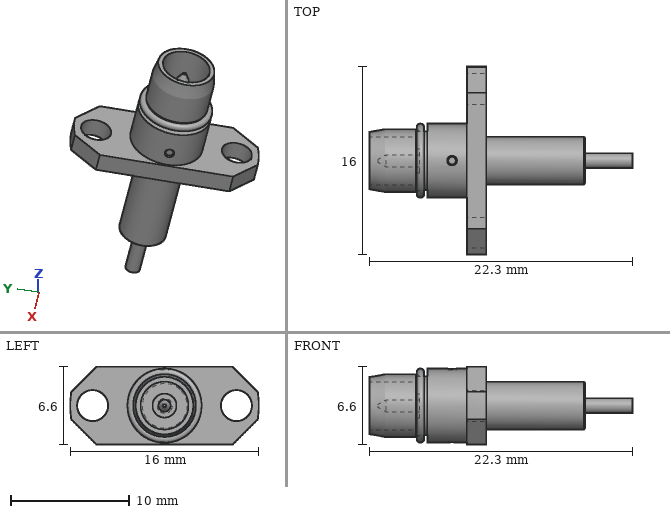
import cadquery as cq

total_length = 22.3
taper_length = 1.32
groove_start = 3.95
groove_end = 4.9
flange_start = 8.25
flange_thickness = 1.65
barrel_end = 18.29
barrel_chamfer = 0.13

mouth_diameter = 4.86
front_diameter = 5.33
groove_diameter = 5.0
body_diameter = 6.29
barrel_diameter = 4.05
tail_diameter = 1.27

socket_diameter = 4.05
socket_depth = 4.01
recess_diameter = 2.03
recess_depth = 0.22
pin_diameter = 1.03
pin_tip_diameter = 0.27
pin_start = 0.74
pin_tip_length = 0.67

flange_width = 16.0
flange_height = 6.6
flange_corner = 2.23
mount_hole_diameter = 2.6
mount_hole_spacing = 12.18

side_hole_position = 7.0
side_hole_diameter = 0.85
side_hole_floor_diameter = 0.65
side_hole_depth = 0.11

ring_outer_diameter = body_diameter
ring_tube_diameter = (ring_outer_diameter - groove_diameter) / 2
ring_position = 4.33


def revolve_about_x(profile):
    """Turn a closed (x, radius) profile around the X axis."""
    return cq.Workplane("XY").polyline(profile).close().revolve(360, (0, 0, 0), (1, 0, 0))


def cylinder_along_x(start, end, diameter):
    return cq.Workplane("YZ", origin=(start, 0, 0)).circle(diameter / 2).extrude(end - start)


def make_turned_body():
    return revolve_about_x([
        (0, 0),
        (0, mouth_diameter / 2),
        (taper_length, front_diameter / 2),
        (groove_start, front_diameter / 2),
        (groove_start, groove_diameter / 2),
        (groove_end, groove_diameter / 2),
        (groove_end, body_diameter / 2),
        (flange_start, body_diameter / 2),
        (flange_start, barrel_diameter / 2),
        (barrel_end - barrel_chamfer, barrel_diameter / 2),
        (barrel_end, barrel_diameter / 2 - barrel_chamfer),
        (barrel_end, tail_diameter / 2),
        (total_length, tail_diameter / 2),
        (total_length, 0),
    ])


def make_flange():
    """Plate with cut corners and ends slightly rounded about the X axis."""
    plate = (
        cq.Workplane("YZ", origin=(flange_start, 0, 0))
        .rect(flange_width, flange_height)
        .extrude(flange_thickness)
        .edges("|X")
        .chamfer(flange_corner)
    )
    holes = (
        cq.Workplane("YZ", origin=(flange_start, 0, 0))
        .pushPoints([(-mount_hole_spacing / 2, 0), (mount_hole_spacing / 2, 0)])
        .circle(mount_hole_diameter / 2)
        .extrude(flange_thickness)
    )
    round_ends = cylinder_along_x(flange_start, flange_start + flange_thickness, flange_width)
    return plate.intersect(round_ends).cut(holes)


def make_socket():
    bore = cylinder_along_x(0, socket_depth, socket_diameter)
    recess = cylinder_along_x(socket_depth, socket_depth + recess_depth, recess_diameter)
    return bore.union(recess)


def make_contact_pin():
    return revolve_about_x([
        (pin_start, 0),
        (pin_start, pin_tip_diameter / 2),
        (pin_start + pin_tip_length, pin_diameter / 2),
        (socket_depth + recess_depth, pin_diameter / 2),
        (socket_depth + recess_depth, 0),
    ])


def make_side_holes():
    """Cutter for both blind holes, narrowing inwards and mirrored about the axis."""
    floor_height = body_diameter / 2 - side_hole_depth
    upper = (
        cq.Workplane("XY", origin=(side_hole_position, 0, floor_height))
        .circle(side_hole_floor_diameter / 2)
        .workplane(offset=side_hole_depth)
        .circle(side_hole_diameter / 2)
        .loft()
    )
    return upper.union(upper.mirror("XY"))


def make_housing():
    shell = make_turned_body().union(make_flange()).cut(make_socket())
    return shell.union(make_contact_pin()).cut(make_side_holes())


def make_sealing_ring():
    tube_radius = ring_tube_diameter / 2
    centre_radius = ring_outer_diameter / 2 - tube_radius
    return cq.Workplane(
        cq.Solid.makeTorus(centre_radius, tube_radius, cq.Vector(ring_position, 0, 0), cq.Vector(1, 0, 0))
    )


housing = make_housing()
sealing_ring = make_sealing_ring()
result = cq.Compound.makeCompound([housing.val(), sealing_ring.val()])